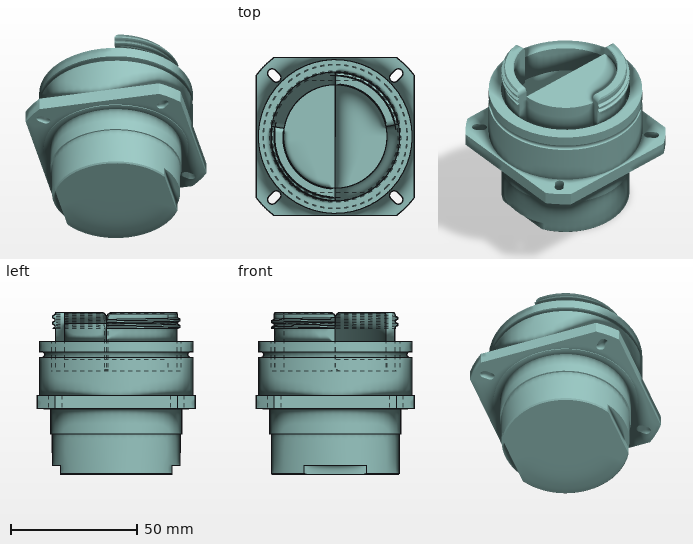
import cadquery as cq
import math

TOTAL_HEIGHT = 64.25
WRENCH_FLAT_TOP = 3.6
TAIL_TOP = 16.0
PAD_BOTTOM = 25.9
FLANGE_BOTTOM = 26.15
FLANGE_TOP = 31.35
WELL_FLOOR = 41.1
LOW_CORE_TOP = 45.6
GROOVE_BOTTOM = 46.45
GROOVE_TOP = 48.65
BARREL_TOP = 52.8
HIGH_CORE_TOP = 59.9
THREAD_BOTTOM = 57.95

TAIL_RADIUS = 25.4
COLLAR_RADIUS = 26.0
PAD_RADIUS = 28.65
BARREL_RADIUS = 30.45
GROOVE_FLOOR_RADIUS = 28.4
WELL_RADIUS = 25.6
CORE_RADIUS = 20.5

FLANGE_SIDE = 62.7
FLANGE_CORNER_RADIUS = 39.65
SLOT_CENTER = 24.15
SLOT_LENGTH = 5.9
SLOT_WIDTH = 3.55

WRENCH_FLAT_SPACING = 44.35
TAIL_CHAMFER = 0.5

NECK_RADIUS = 24.1
THREAD_ROOT_RADIUS = 24.3
THREAD_CREST_RADIUS = 25.3
THREAD_PITCH = 2.5
THREAD_START = 56.9
THREAD_TURNS = 2.4
CREST_WIDTH = 0.65
FLANK_ANGLE = 30.0
OUTER_BEVEL_HEIGHT = 0.7
OUTER_BEVEL_WIDTH = 0.3
INNER_BEVEL = 0.3
END_TOP_RADIUS = 2.1
END_BASE_RADIUS = 1.8
FIRST_ARM_ANGLES = (11.0, 90.0)
SECOND_ARM_ANGLES = (171.0, 270.0)

CLEARANCE = 3.2

OVERLAP = 0.3


def cylinder(radius, bottom, top):
    return cq.Workplane("XY").workplane(offset=bottom).circle(radius).extrude(top - bottom)


def make_tail():
    """Lower spigot with a chamfered end and two wrench flats."""
    tail = cylinder(TAIL_RADIUS, 0, TAIL_TOP).faces("<Z").chamfer(TAIL_CHAMFER)
    span = 2 * TAIL_RADIUS
    for side in (-1, 1):
        waste = cq.Workplane("XY").center(0, side * (WRENCH_FLAT_SPACING + span) / 2)
        tail = tail.cut(waste.rect(span, span).extrude(WRENCH_FLAT_TOP))
    return tail


def make_flange():
    """Square plate, its corners rounded about the part axis, on a thin round pad."""
    thickness = FLANGE_TOP - FLANGE_BOTTOM
    plate = cq.Workplane("XY").workplane(offset=FLANGE_BOTTOM)
    plate = plate.rect(FLANGE_SIDE, FLANGE_SIDE).extrude(thickness)
    plate = plate.intersect(cylinder(FLANGE_CORNER_RADIUS, FLANGE_BOTTOM, FLANGE_TOP))
    plate = plate.union(cylinder(PAD_RADIUS, PAD_BOTTOM, FLANGE_BOTTOM))
    slot = cq.Workplane("XY").workplane(offset=PAD_BOTTOM)
    slot = slot.center(SLOT_CENTER * math.sqrt(2), 0).slot2D(SLOT_LENGTH, SLOT_WIDTH)
    slot = slot.extrude(FLANGE_TOP - PAD_BOTTOM)
    for angle in (45, 135, 225, 315):
        plate = plate.cut(slot.rotate((0, 0, 0), (0, 0, 1), angle))
    return plate


def make_barrel():
    """Barrel with a round-bottomed outer groove and an open well in its top."""
    groove_radius = (GROOVE_TOP - GROOVE_BOTTOM) / 2
    groove_center = GROOVE_FLOOR_RADIUS + groove_radius
    return (
        cq.Workplane("XZ")
        .moveTo(0, FLANGE_TOP)
        .lineTo(BARREL_RADIUS, FLANGE_TOP)
        .lineTo(BARREL_RADIUS, GROOVE_BOTTOM)
        .lineTo(groove_center, GROOVE_BOTTOM)
        .threePointArc((GROOVE_FLOOR_RADIUS, GROOVE_BOTTOM + groove_radius), (groove_center, GROOVE_TOP))
        .lineTo(BARREL_RADIUS, GROOVE_TOP)
        .lineTo(BARREL_RADIUS, BARREL_TOP)
        .lineTo(WELL_RADIUS, BARREL_TOP)
        .lineTo(WELL_RADIUS, WELL_FLOOR)
        .lineTo(0, WELL_FLOOR)
        .close()
        .revolve(360, (0, 0), (0, 1))
    )


def make_core():
    """Round core in the well, its -X half standing higher than its +X half."""
    low_core = cylinder(CORE_RADIUS, WELL_FLOOR, LOW_CORE_TOP)
    high_core = cylinder(CORE_RADIUS, WELL_FLOOR, HIGH_CORE_TOP)
    left_half = (
        cq.Workplane("XY")
        .center(-CORE_RADIUS, 0)
        .rect(2 * CORE_RADIUS, 2 * CORE_RADIUS + CLEARANCE)
        .extrude(TOTAL_HEIGHT)
    )
    return low_core.union(high_core.intersect(left_half))


def make_thread():
    """Right-hand helical ridge, trimmed square at its lower end."""
    inner_radius = THREAD_ROOT_RADIUS - OVERLAP
    half_crest = CREST_WIDTH / 2
    half_root = half_crest + (THREAD_CREST_RADIUS - inner_radius) * math.tan(math.radians(FLANK_ANGLE))
    helix = cq.Wire.makeHelix(THREAD_PITCH, THREAD_PITCH * THREAD_TURNS, inner_radius)
    ridge = (
        cq.Workplane("XZ")
        .polyline([
            (inner_radius, -half_root),
            (THREAD_CREST_RADIUS, -half_crest),
            (THREAD_CREST_RADIUS, half_crest),
            (inner_radius, half_root),
        ])
        .close()
        .sweep(cq.Workplane(helix), isFrenet=True)
        .translate((0, 0, THREAD_START))
    )
    return ridge.cut(cylinder(THREAD_CREST_RADIUS + CLEARANCE, 0, THREAD_BOTTOM))


def make_threaded_ring():
    """Full threaded ring, its top rim bevelled steeply outside and evenly inside."""
    ring = (
        cq.Workplane("XZ")
        .polyline([
            (CORE_RADIUS, WELL_FLOOR),
            (NECK_RADIUS, WELL_FLOOR),
            (NECK_RADIUS, THREAD_BOTTOM),
            (THREAD_ROOT_RADIUS, THREAD_BOTTOM),
            (THREAD_ROOT_RADIUS, TOTAL_HEIGHT - OUTER_BEVEL_HEIGHT),
            (THREAD_ROOT_RADIUS - OUTER_BEVEL_WIDTH, TOTAL_HEIGHT),
            (CORE_RADIUS + INNER_BEVEL, TOTAL_HEIGHT),
            (CORE_RADIUS, TOTAL_HEIGHT - INNER_BEVEL),
        ])
        .close()
        .revolve(360, (0, 0), (0, 1))
    )
    return ring.union(make_thread())


def radial_corner(angle, radius, side, corner_height, up, inner, outer):
    """Concave corner strip along a radial line.

    The sharp corner lies on the radial line; the strip spreads from it by the given radius,
    anticlockwise if side is 1 and clockwise if it is -1, and upward or downward with up.
    """
    strip = (
        cq.Workplane("YZ")
        .workplane(offset=inner)
        .moveTo(0, corner_height)
        .lineTo(side * radius, corner_height)
        .radiusArc((0, corner_height + up * radius), side * up * radius)
        .close()
        .extrude(outer - inner)
    )
    return strip.rotate((0, 0, 0), (0, 0, 1), angle)


def make_arm(ring, start, end):
    """Threaded arm between two angles, with rounded top ends and filleted feet."""
    reach = 2 * THREAD_CREST_RADIUS
    corners = [(0, 0)]
    for angle in (start, (start + end) / 2, end):
        corners.append((reach * math.cos(math.radians(angle)), reach * math.sin(math.radians(angle))))
    sector = cq.Workplane("XY").polyline(corners).close().extrude(TOTAL_HEIGHT)
    arm = ring.intersect(sector)
    for angle, inward in ((start, 1), (end, -1)):
        arm = arm.cut(radial_corner(
            angle, END_TOP_RADIUS, inward, TOTAL_HEIGHT, -1,
            CORE_RADIUS - CLEARANCE, THREAD_CREST_RADIUS + CLEARANCE,
        ))
        arm = arm.union(radial_corner(
            angle, END_BASE_RADIUS, -inward, WELL_FLOOR, 1, CORE_RADIUS - OVERLAP, NECK_RADIUS,
        ))
    return arm


result = make_tail()
result = result.union(cylinder(COLLAR_RADIUS, TAIL_TOP, PAD_BOTTOM))
result = result.union(make_flange())
result = result.union(make_barrel())
result = result.union(make_core())
threaded_ring = make_threaded_ring()
for start_angle, end_angle in (FIRST_ARM_ANGLES, SECOND_ARM_ANGLES):
    result = result.union(make_arm(threaded_ring, start_angle, end_angle))